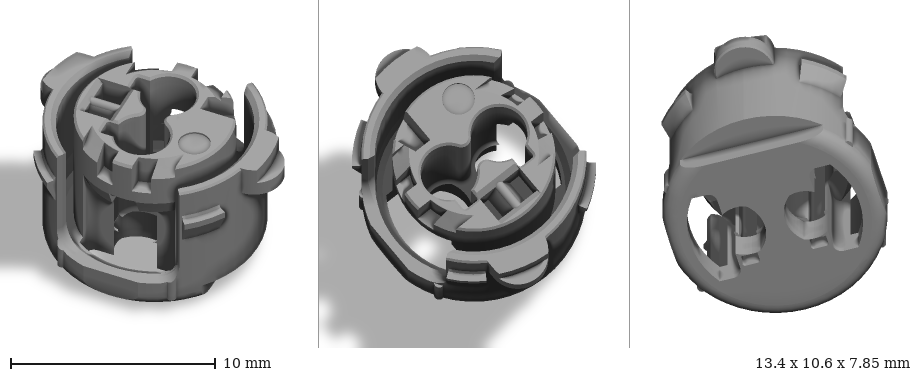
import cadquery as cq
import math

SHELL_R = 5.5
SHELL_TOP = 7.5
BORE_R = 4.85
BORE_DRAFT_Z = 2.75
BORE_LOW_R = 4.78
BORE_LOW_Z = 1.66
FLOOR_R = 4.47
FLOOR_Z = 1.35
RIM_CHAMFER = 0.25
RIM_EDGE = 0.1
BASE_FILLET = 0.75
FLAT_Y = 5.3
NOTCH_X = 4.12
NOTCH_Z = 1.05

WINDOW_HALF_W = 3.08
WINDOW_FLARE_Y = 4.16
WINDOW_FLARE_ANGLE = 128.0
FRONT_SILL_Z = 1.66
BACK_SILL_Z = 2.75
WINDOW_CORNER_R = 1.0
RIB_R = 0.25
RIB_X = 2.92
RIB_Y = 4.55
RIB_BOTTOM = 0.6

LUG_R = 1.5
LUG_REACH = 5.3
LEFT_LUG_ANGLE = 164.8
LUG_BOTTOM = 5.8
LUG_STEP_Z = 6.65
LUG_STEP_R = 6.18
LUG_EDGE = 0.08

SNAP_R = 5.97
SNAP_BOTTOM = 4.43
SNAP_FULL_Z = 5.5
SNAP_TOP = 5.85
SNAP_ROOT_Z = 6.0
SNAP_SPANS = [(28.7, 52.0), (128.0, 147.0), (208.7, 232.0), (308.0, 329.0)]

CORE_R = 3.98
CORE_TOP = 7.85
CORE_EDGE = 0.12
HOLE_R = 1.39
HOLE_Y = 1.57
NECK_HALF_W = 0.53
KEY_X = -1.96
KEY_Y = (1.3, 2.19)
KEY_CORNER_R = 0.14
BRIDGE_Z = 1.66
BRIDGE_FILLET = 0.2
FLOOR_HOLE_R = 1.76
FLOOR_HOLE_Y = 2.28

POCKET_HALF_W = 2.47
POCKET_Y = 2.35
POCKET_R = 4.3
POCKET_TOP = 4.66
POCKET_INNER_CORNER = 0.45
CAP_UNDERSIDE_Z = 5.56
CAP_UNDERSIDE_R = 3.6
CAP_SLOPE_R = 3.18
CAP_SLOPE_Z = 7.2
PORT_HALF_W = 0.72
PORT_TOP = 5.6
TOOTH_HALF_W = 0.52
EDGE_NOTCH_X = 1.45
EDGE_NOTCH_R = 3.2
EDGE_NOTCH_Z = 6.25

BAR_POCKET_X = (-3.65, -1.66)
BAR_POCKET_HALF_Y = 1.25
BAR_POCKET_BEVEL = 0.29
BAR_POCKET_FLOOR = 6.3
BAR_R = 0.24
BAR_Z = 7.4
BAR_FOOT_HALF_Y = 0.68
RECESS_POINTS = [(1.85, 1.25), (5.0, 1.25), (5.0, 3.36), (1.85, 2.18)]
RECESS_DEPTH = 1.0
RECESS_TAPER = 11.0
MARK_D = 1.6
MARK_X, MARK_Y = 2.61, -1.13
MARK_DEPTH = 0.1

SIDES = (-1, 1)
FAR = 8.0


def cylinder(radius, bottom, top, x=0.0, y=0.0):
    return cq.Workplane("XY", origin=(x, y, bottom)).circle(radius).extrude(top - bottom)


def box(x0, x1, y0, y1, z0, z1):
    return cq.Workplane("XY").box(x1 - x0, y1 - y0, z1 - z0, centered=False).translate((x0, y0, z0))


def both_sides(x0, x1, y_side, y0, y1, z0, z1):
    """Box given for +Y, placed on the chosen Y side."""
    low, high = sorted((y_side * y0, y_side * y1))
    return box(x0, x1, low, high, z0, z1)


def revolve(profile, angle=360.0):
    return cq.Workplane("XZ").polyline(profile).close().revolve(angle, (0, 0), (0, 1))


def make_lugs():
    angle = math.radians(LEFT_LUG_ANGLE)
    left_x = LUG_REACH * math.cos(angle)
    left_y = LUG_REACH * math.sin(angle)
    left = cylinder(LUG_R, LUG_BOTTOM, SHELL_TOP, left_x, left_y)
    left = left.union(box(left_x, -WINDOW_HALF_W, left_y, left_y + LUG_R, LUG_BOTTOM, SHELL_TOP))
    right = cylinder(LUG_R, LUG_BOTTOM, SHELL_TOP, LUG_REACH)
    lugs = left.union(right).faces("<Z").edges().chamfer(LUG_EDGE)
    outer_step = cylinder(FAR, LUG_STEP_Z, FAR).cut(cylinder(LUG_STEP_R, LUG_STEP_Z, FAR))
    return lugs.cut(outer_step)


def make_snap(start, end):
    root = SHELL_R - 0.2
    profile = [
        (root, SNAP_BOTTOM),
        (SHELL_R, SNAP_BOTTOM),
        (SNAP_R, SNAP_FULL_Z),
        (SNAP_R, SNAP_TOP),
        (SHELL_R + RIM_EDGE, SNAP_TOP),
        (SHELL_R, SNAP_ROOT_Z),
        (root, SNAP_ROOT_Z),
    ]
    return revolve(profile, end - start).rotate((0, 0, 0), (0, 0, 1), start)


def make_bore():
    return revolve([
        (0, FLOOR_Z),
        (FLOOR_R, FLOOR_Z),
        (BORE_LOW_R, BORE_LOW_Z),
        (BORE_R, BORE_DRAFT_Z),
        (BORE_R, SHELL_TOP - RIM_CHAMFER),
        (BORE_R + RIM_CHAMFER, SHELL_TOP),
        (BORE_R + RIM_CHAMFER, FAR),
        (0, FAR),
    ])


def make_window(side, sill):
    run = FAR - WINDOW_FLARE_Y
    flare_x = WINDOW_HALF_W - run / math.tan(math.radians(WINDOW_FLARE_ANGLE))
    window = cq.Workplane("XY", origin=(0, 0, sill)).polyline([
        (-WINDOW_HALF_W, 0),
        (WINDOW_HALF_W, 0),
        (WINDOW_HALF_W, WINDOW_FLARE_Y),
        (flare_x, FAR),
        (-flare_x, FAR),
        (-WINDOW_HALF_W, WINDOW_FLARE_Y),
    ]).close().extrude(FAR)
    window = window.faces("<Z").edges("not |X").fillet(WINDOW_CORNER_R)
    return window if side > 0 else window.mirror("XZ")


def make_shell():
    shell = cylinder(SHELL_R, 0, SHELL_TOP)
    shell = shell.faces("<Z").edges().fillet(BASE_FILLET)
    shell = shell.faces(">Z").edges().chamfer(RIM_EDGE)
    for side_x in SIDES:
        for side_y in SIDES:
            shell = shell.union(cylinder(RIB_R, RIB_BOTTOM, BACK_SILL_Z, side_x * RIB_X, side_y * RIB_Y))
    shell = shell.union(make_lugs())
    for start, end in SNAP_SPANS:
        shell = shell.union(make_snap(start, end))
    shell = shell.cut(make_bore())
    shell = shell.cut(make_window(-1, FRONT_SILL_Z))
    shell = shell.cut(make_window(1, BACK_SILL_Z))
    for side in SIDES:
        shell = shell.cut(both_sides(-FAR, FAR, side, FLAT_Y, FAR, 0, FAR))
    return shell.cut(box(NOTCH_X, FAR, -FAR, FAR, 0, NOTCH_Z))


def two_lobed_opening():
    """Two round holes joined by a neck whose sides are tangent arcs."""
    w = NECK_HALF_W
    neck_r = (w ** 2 + HOLE_Y ** 2 - HOLE_R ** 2) / (2 * (HOLE_R - w))
    reach = HOLE_R + neck_r
    join_x = (w + neck_r) * HOLE_R / reach
    join_y = HOLE_Y - HOLE_Y * HOLE_R / reach
    outline = (
        cq.Workplane("XY", origin=(0, 0, BRIDGE_Z))
        .moveTo(join_x, -join_y)
        .threePointArc((w, 0), (join_x, join_y))
        .threePointArc((0, HOLE_Y + HOLE_R), (-join_x, join_y))
        .threePointArc((-w, 0), (-join_x, -join_y))
        .threePointArc((0, -HOLE_Y - HOLE_R), (join_x, -join_y))
        .close()
    )
    opening = outline.extrude(CORE_TOP - BRIDGE_Z)
    return opening.faces("<Z").edges().fillet(BRIDGE_FILLET)


def make_key_slot(side):
    """Keyway beside one hole, open all the way down."""
    slot = both_sides(KEY_X, 0, side, KEY_Y[0], KEY_Y[1], 0, CORE_TOP)
    slot = slot.edges("|Z and <X").fillet(KEY_CORNER_R)
    bridge = both_sides(-HOLE_R, 0, side, 0, KEY_Y[1], 0, BRIDGE_Z)
    return slot.cut(bridge)


def cut_opening(core):
    core = core.cut(two_lobed_opening())
    for side in SIDES:
        core = core.cut(make_key_slot(side))
    return core.faces(">Z").edges().chamfer(CORE_EDGE)


def cut_side(core, side):
    """Pocket, port, slopes and edge notches on one Y side of the core."""
    ring = cylinder(FAR, 0, CORE_TOP).cut(cylinder(EDGE_NOTCH_R, 0, CORE_TOP))
    band = both_sides(-POCKET_HALF_W, POCKET_HALF_W, side, 0, FAR, 0, CORE_TOP)
    tooth = both_sides(-TOOTH_HALF_W, TOOTH_HALF_W, side, 0, FAR, 0, CORE_TOP)
    top_slope = revolve([(CAP_SLOPE_R, CORE_TOP), (CORE_R, CAP_SLOPE_Z), (FAR, CAP_SLOPE_Z), (FAR, CORE_TOP)])
    underside = revolve([
        (CAP_UNDERSIDE_R, POCKET_TOP),
        (CORE_R, CAP_UNDERSIDE_Z),
        (BORE_LOW_R, CAP_UNDERSIDE_Z),
        (BORE_LOW_R, POCKET_TOP),
    ])
    notches = both_sides(-EDGE_NOTCH_X, EDGE_NOTCH_X, side, 0, FAR, EDGE_NOTCH_Z, CORE_TOP)
    core = core.cut(top_slope.intersect(band).cut(tooth))
    core = core.cut(underside.intersect(band))
    core = core.cut(notches.intersect(ring).cut(tooth))
    return core.cut(both_sides(-PORT_HALF_W, PORT_HALF_W, side, HOLE_Y, FAR, BRIDGE_Z, PORT_TOP))


def make_core():
    core = cut_opening(cylinder(CORE_R, 0, CORE_TOP))
    for side in SIDES:
        core = cut_side(core, side)
    core = cut_bar_pocket(core)
    recess = cq.Workplane("XY", origin=(0, 0, CORE_TOP)).polyline(RECESS_POINTS).close()
    recess = recess.extrude(-RECESS_DEPTH, taper=RECESS_TAPER)
    core = core.cut(recess)
    return core.cut(cylinder(MARK_D / 2, CORE_TOP - MARK_DEPTH, CORE_TOP, MARK_X, MARK_Y))


def cut_bar_pocket(core):
    """Rectangular pocket crossed by a round-topped bar on a sloping foot."""
    x0, x1 = BAR_POCKET_X
    half_y = BAR_POCKET_HALF_Y
    shoulder_z = CORE_TOP - BAR_POCKET_BEVEL
    pocket = cq.Workplane("XZ", origin=(0, half_y, 0)).polyline([
        (x0, CORE_TOP),
        (x0 + BAR_POCKET_BEVEL, shoulder_z),
        (x0 + BAR_POCKET_BEVEL, BAR_POCKET_FLOOR),
        (x1 - BAR_POCKET_BEVEL, BAR_POCKET_FLOOR),
        (x1 - BAR_POCKET_BEVEL, shoulder_z),
        (x1, CORE_TOP),
    ]).close().extrude(2 * half_y)
    bar = cq.Workplane("YZ", origin=(x0, 0, 0)).center(0, BAR_Z).circle(BAR_R).extrude(x1 - x0)
    foot = cq.Workplane("YZ", origin=(x0, 0, 0)).polyline([
        (-BAR_R, BAR_Z),
        (BAR_R, BAR_Z),
        (BAR_FOOT_HALF_Y, BAR_POCKET_FLOOR),
        (-BAR_FOOT_HALF_Y, BAR_POCKET_FLOOR),
    ]).close().extrude(x1 - x0)
    return core.cut(pocket.cut(bar).cut(foot))


def make_floor_cut(side):
    """Opening through the floor below one window, reaching into the core."""
    pocket = both_sides(-POCKET_HALF_W, POCKET_HALF_W, side, POCKET_Y, FAR, 0, POCKET_TOP)
    inner = "<Y" if side > 0 else ">Y"
    pocket = pocket.edges("|Z and " + inner).fillet(POCKET_INNER_CORNER)
    pocket = pocket.intersect(cylinder(POCKET_R, 0, POCKET_TOP))
    hole = cylinder(FLOOR_HOLE_R, 0, BRIDGE_Z, 0, side * FLOOR_HOLE_Y)
    hole = hole.intersect(cylinder(HOLE_R, 0, BRIDGE_Z, 0, side * HOLE_Y))
    return pocket.union(hole).union(make_key_slot(side))


result = make_shell().union(make_core())
for y_side in SIDES:
    result = result.cut(make_floor_cut(y_side))